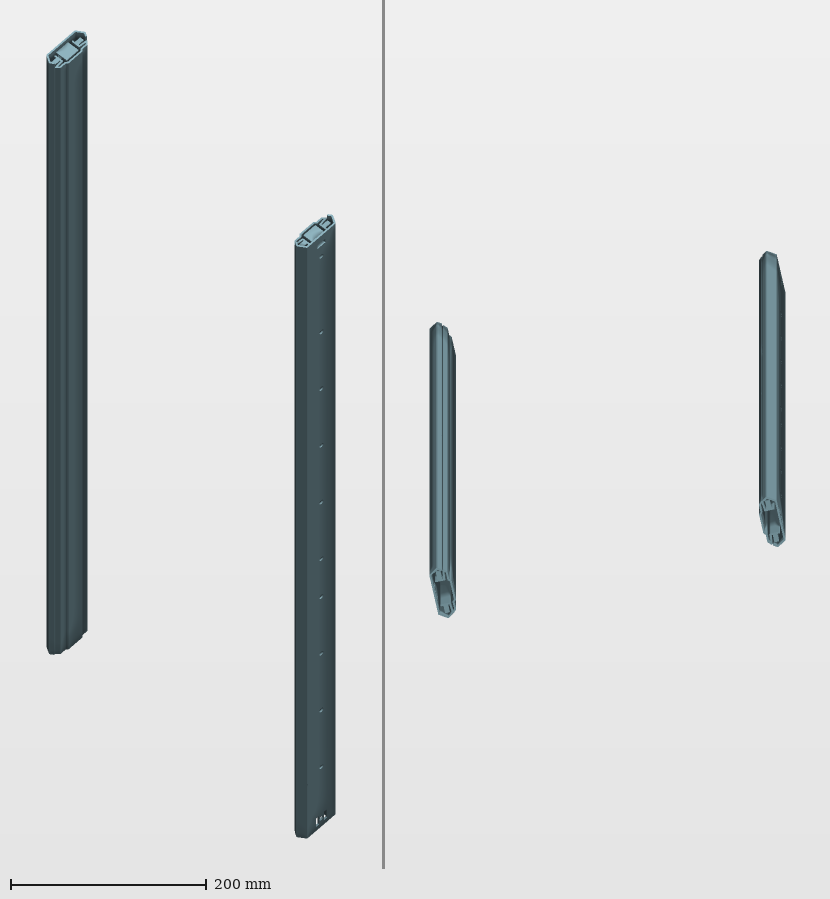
import cadquery as cq

pair_width = 364.0
rail_length = 1000.0
sheet = 2.0
half_sheet = sheet / 2

slide_height = 54.0
back_half_height = 21.0
ridge_start_depth = 9.0
ridge_end_depth = 10.0
lip_depth = 13.0
lip_half_height = 24.0
ridge_half_height = slide_height / 2 - half_sheet

slide_depth = 21.0
band_depth = slide_depth - half_sheet
band_half_height = 10.0
band_step = 2.0
web_depth = band_depth - band_step
web_half_height = 20.0
flare_depth = 15.0
flare_half_height = 23.0
leg_root_depth = 14.0
leg_tip_depth = 5.0
leg_half_height = 13.0
inner_bottom = 2.0
inner_top = 994.0

cage_near = 7.0
cage_far = 12.0
cage_thickness = 8.0
cage_base_y = leg_half_height + half_sheet

hole_diameter = 5.8
first_hole_drop = 35.0
hole_pitch = 96.0
top_gap = 128.0
middle_gap = 64.0
upper_group_drop = first_hole_drop + top_gap
upper_group_count = 5
lower_group_drop = upper_group_drop + (upper_group_count - 1) * hole_pitch + middle_gap
lower_group_count = 4
last_hole_drop = 986.0

window_width = 12.0
window_height = 6.0
window_bottom = 983.0
tab_depth = 6.0

stop_width = 18.0
stop_depth = 17.0
stop_top = 994.0

slot_width = 5.0
slot_height = 14.0
slot_spacing = 12.0


def rolled_sheet(half_path, bottom, top):
    """Extrude a sheet whose centre line is half_path followed by its mirror image in Y."""
    mirrored_path = [(depth, -y) for depth, y in reversed(half_path)]
    section = cq.Workplane("XY", origin=(0, 0, bottom)).polyline(half_path + mirrored_path)
    return section.offset2D(half_sheet).extrude(top - bottom)


def block(near, far, y_low, y_high, bottom, top):
    """Box between two depths, two Y positions and two heights."""
    box = cq.Workplane("XY").box(far - near, y_high - y_low, top - bottom, centered=False)
    return box.translate((near, y_low, bottom))


def back_plane():
    """Workplane on the mounting face: local x is Y, local y is Z, extruding into the slide."""
    return cq.Workplane("YZ")


def mounting_holes():
    drops = [first_hole_drop]
    drops += [upper_group_drop + i * hole_pitch for i in range(upper_group_count)]
    drops += [lower_group_drop + i * hole_pitch for i in range(lower_group_count)]
    drops.append(last_hole_drop)
    centres = [(0, rail_length - drop) for drop in drops]
    return back_plane().pushPoints(centres).circle(hole_diameter / 2).extrude(sheet)


def hole_side_slots():
    return (
        back_plane()
        .center(0, rail_length - last_hole_drop)
        .rarray(slot_spacing, 10, 2, 1)
        .rect(slot_width, slot_height)
        .extrude(sheet)
    )


def window():
    half_width = window_width / 2
    return block(0, sheet, -half_width, half_width, window_bottom, window_bottom + window_height)


def window_tab():
    half_width = window_width / 2
    return block(half_sheet, tab_depth, -half_width, half_width, window_bottom - sheet, window_bottom)


def stop_plate():
    half_width = stop_width / 2
    return block(half_sheet, stop_depth, -half_width, half_width, stop_top - sheet, stop_top)


def make_outer_rail():
    half_path = [
        (lip_depth, lip_half_height),
        (ridge_end_depth, ridge_half_height),
        (ridge_start_depth, ridge_half_height),
        (half_sheet, back_half_height),
    ]
    rail = rolled_sheet(half_path, 0, rail_length)
    rail = rail.cut(mounting_holes()).cut(hole_side_slots()).cut(window())
    rail = rail.union(window_tab()).union(stop_plate())
    return rail.solids()


def make_inner_rail():
    half_path = [
        (leg_tip_depth, leg_half_height),
        (leg_root_depth, leg_half_height),
        (flare_depth, flare_half_height),
        (web_depth, web_half_height),
        (web_depth, band_half_height + band_step),
        (band_depth, band_half_height),
    ]
    return rolled_sheet(half_path, inner_bottom, inner_top)


def make_ball_cage(side):
    """Cage strip on the +Y side (side = 1) or the -Y side (side = -1)."""
    y_low, y_high = sorted((side * cage_base_y, side * (cage_base_y + cage_thickness)))
    return block(cage_near, cage_far, y_low, y_high, inner_bottom, inner_top)


slide_bodies = [make_outer_rail(), make_inner_rail()]
slide_bodies += [make_ball_cage(side) for side in (1, -1)]

left_bodies = [body.translate((-pair_width / 2, 0, 0)) for body in slide_bodies]
right_bodies = [body.mirror("YZ") for body in left_bodies]

result = cq.Compound.makeCompound([body.val() for body in left_bodies + right_bodies])